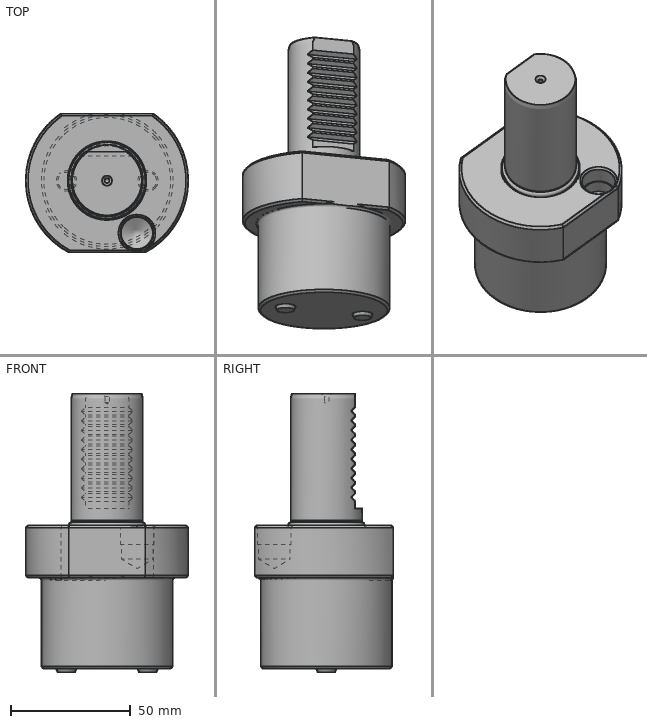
import cadquery as cq
import math


SHANK_RADIUS = 15.0
SHANK_LENGTH = 55.0
SHANK_TOP_CHAMFER_WIDTH = 0.5
SHANK_TOP_CHAMFER_HEIGHT = 2.0
SHANK_BASE_TAPER_WIDTH = 0.3
SHANK_BASE_TAPER_TOP = 2.1
SHANK_BASE_TAPER_BOTTOM = 1.4

TOOTH_FLAT_Y = 12.0
TOOTH_FLAT_BOTTOM = 7.0
NOTCH_COUNT = 10
NOTCH_PITCH = 4.0
FIRST_NOTCH_Z = 11.7
NOTCH_DEPTH = 1.6
NOTCH_HALF_HEIGHT = NOTCH_DEPTH

CENTRE_MOUTH_RADIUS = 2.1
CENTRE_PILOT_RADIUS = 1.0
CENTRE_CONE_HALF_ANGLE = 45.0
CENTRE_PILOT_LENGTH = 2.5

FLANGE_RADIUS = 34.0
FLANGE_THICKNESS = 22.0
FLANGE_CHAMFER = 1.0
REAR_FLAT_Y = 28.0
FRONT_FLAT_Y = -30.0

GROOVE_RADIUS = 16.5
GROOVE_DEPTH = 1.0
RING_OUTER_RADIUS = 16.0
RING_SECTION_RADIUS = 1.25

HOLE_X = 12.5
HOLE_Y = -21.9
HOLE_RADIUS = 6.95
HOLE_UPPER_DEPTH = 8.0
HOLE_LOWER_RADIUS = 6.65
HOLE_DEPTH = 14.0
HOLE_CHAMFER = 0.8
DRILL_HALF_ANGLE = 59.0

BODY_RADIUS = 27.5
BODY_BOTTOM = -60.0
BODY_CHAMFER = 1.0
BODY_FILLET = 1.0

PAD_X = 17.0
PAD_TOP_RADIUS = 4.25
PAD_HEIGHT = 1.5
PAD_BOTTOM_RADIUS = 3.6


def revolve_profile(profile):
    """Turn a closed radius-height outline about the Z axis."""
    return profile.close().revolve(360, (0, 0, 0), (0, 1, 0))


def make_shank():
    taper_radius = SHANK_RADIUS - SHANK_BASE_TAPER_WIDTH
    profile = (
        cq.Workplane("XZ")
        .moveTo(0, -GROOVE_DEPTH)
        .lineTo(taper_radius, -GROOVE_DEPTH)
        .lineTo(taper_radius, SHANK_BASE_TAPER_BOTTOM)
        .lineTo(SHANK_RADIUS, SHANK_BASE_TAPER_TOP)
        .lineTo(SHANK_RADIUS, SHANK_LENGTH - SHANK_TOP_CHAMFER_HEIGHT)
        .lineTo(SHANK_RADIUS - SHANK_TOP_CHAMFER_WIDTH, SHANK_LENGTH)
        .lineTo(0, SHANK_LENGTH)
    )
    shank = revolve_profile(profile).cut(make_flat_cutter())
    for index in range(NOTCH_COUNT):
        shank = shank.cut(make_notch_cutter(FIRST_NOTCH_Z + index * NOTCH_PITCH))
    return shank.cut(make_centre_hole())


def make_flat_cutter():
    """Block removing the +Y side of the shank above its shoulder."""
    block = cq.Workplane("XY").box(
        2 * SHANK_RADIUS, SHANK_RADIUS, SHANK_LENGTH, centered=(True, False, False)
    )
    return block.translate((0, TOOTH_FLAT_Y, TOOTH_FLAT_BOTTOM))


def make_notch_cutter(height):
    """V-shaped bar running along X, its tip pointing towards the shank axis."""
    return (
        cq.Workplane("YZ")
        .moveTo(TOOTH_FLAT_Y, height - NOTCH_HALF_HEIGHT)
        .lineTo(TOOTH_FLAT_Y - NOTCH_DEPTH, height)
        .lineTo(TOOTH_FLAT_Y, height + NOTCH_HALF_HEIGHT)
        .close()
        .extrude(SHANK_RADIUS, both=True)
    )


def make_centre_hole():
    cone_width = CENTRE_MOUTH_RADIUS - CENTRE_PILOT_RADIUS
    cone_depth = cone_width / math.tan(math.radians(CENTRE_CONE_HALF_ANGLE))
    tip_depth = CENTRE_PILOT_RADIUS / math.tan(math.radians(DRILL_HALF_ANGLE))
    pilot_top = SHANK_LENGTH - cone_depth
    pilot_bottom = pilot_top - CENTRE_PILOT_LENGTH
    profile = (
        cq.Workplane("XZ")
        .moveTo(0, SHANK_LENGTH)
        .lineTo(CENTRE_MOUTH_RADIUS, SHANK_LENGTH)
        .lineTo(CENTRE_PILOT_RADIUS, pilot_top)
        .lineTo(CENTRE_PILOT_RADIUS, pilot_bottom)
        .lineTo(0, pilot_bottom - tip_depth)
    )
    return revolve_profile(profile)


def between_flats(height):
    """Slab below the seating face that spans the space between the two flats."""
    slab = cq.Workplane("XY").box(
        2 * FLANGE_RADIUS, REAR_FLAT_Y - FRONT_FLAT_Y, height, centered=(True, False, False)
    )
    return slab.translate((0, FRONT_FLAT_Y, -height))


def make_flange():
    disc = cq.Workplane("XY").circle(FLANGE_RADIUS).extrude(-FLANGE_THICKNESS)
    flange = disc.intersect(between_flats(FLANGE_THICKNESS))
    flange = flange.faces("<Z or >Z").edges().chamfer(FLANGE_CHAMFER)
    groove = cq.Workplane("XY").circle(GROOVE_RADIUS).extrude(-GROOVE_DEPTH)
    return flange.cut(groove).cut(make_drilled_hole())


def make_drilled_hole():
    tip_depth = HOLE_LOWER_RADIUS / math.tan(math.radians(DRILL_HALF_ANGLE))
    profile = (
        cq.Workplane("XZ")
        .lineTo(HOLE_RADIUS + HOLE_CHAMFER, 0)
        .lineTo(HOLE_RADIUS, -HOLE_CHAMFER)
        .lineTo(HOLE_RADIUS, -HOLE_UPPER_DEPTH)
        .lineTo(HOLE_LOWER_RADIUS, -HOLE_UPPER_DEPTH)
        .lineTo(HOLE_LOWER_RADIUS, -HOLE_DEPTH)
        .lineTo(0, -HOLE_DEPTH - tip_depth)
    )
    return revolve_profile(profile).translate((HOLE_X, HOLE_Y, 0))


def make_sealing_ring():
    centre_radius = RING_OUTER_RADIUS - RING_SECTION_RADIUS
    section = cq.Workplane("XZ").moveTo(centre_radius, 0).circle(RING_SECTION_RADIUS)
    return section.revolve(360, (0, 0, 0), (0, 1, 0))


def make_body():
    """Round body that flares into the flange, trimmed where the flare passes a flat."""
    overlap_top = -FLANGE_THICKNESS + FLANGE_CHAMFER
    fillet_bottom = -FLANGE_THICKNESS - BODY_FILLET
    flare_radius = BODY_RADIUS + BODY_FILLET
    arc_offset = BODY_FILLET * math.sqrt(0.5)
    profile = (
        cq.Workplane("XZ")
        .moveTo(0, overlap_top)
        .lineTo(flare_radius, overlap_top)
        .lineTo(flare_radius, -FLANGE_THICKNESS)
        .threePointArc((flare_radius - arc_offset, fillet_bottom + arc_offset), (BODY_RADIUS, fillet_bottom))
        .lineTo(BODY_RADIUS, BODY_BOTTOM + BODY_CHAMFER)
        .lineTo(BODY_RADIUS - BODY_CHAMFER, BODY_BOTTOM)
        .lineTo(0, BODY_BOTTOM)
    )
    return revolve_profile(profile).intersect(between_flats(-BODY_BOTTOM))


def make_pads():
    profile = (
        cq.Workplane("XZ")
        .moveTo(0, BODY_BOTTOM)
        .lineTo(PAD_TOP_RADIUS, BODY_BOTTOM)
        .lineTo(PAD_BOTTOM_RADIUS, BODY_BOTTOM - PAD_HEIGHT)
        .lineTo(0, BODY_BOTTOM - PAD_HEIGHT)
    )
    pad = revolve_profile(profile)
    return pad.translate((-PAD_X, 0, 0)).union(pad.translate((PAD_X, 0, 0)))


result = (
    make_flange()
    .union(make_body())
    .union(make_shank())
    .union(make_sealing_ring())
    .union(make_pads())
)